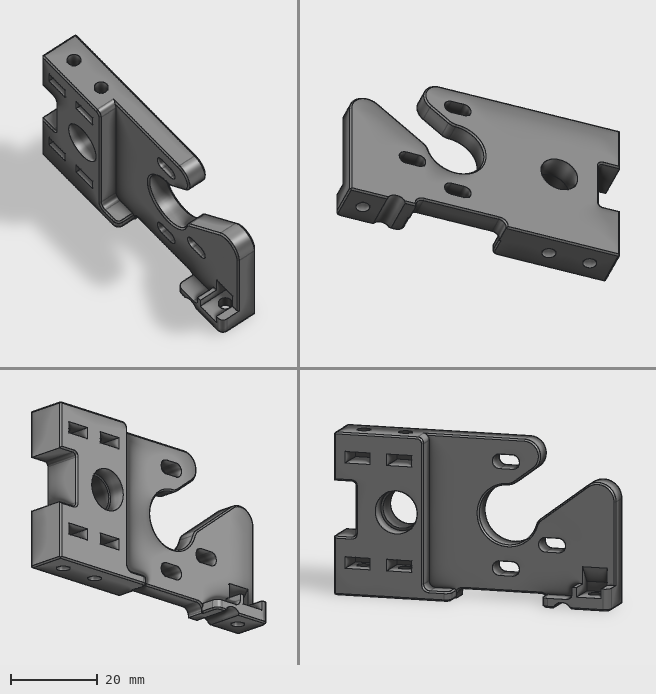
import cadquery as cq
import math


LENGTH = 66.5
DEPTH = 10.0
HEIGHT = 38.25
EDGE_CHAMFER = 0.4

PLATE_FRONT = 4.75
SCREW_DIAMETER = 3.2
SCREW_Y = DEPTH / 2

FOOT_HEIGHT = 2.25
RECESS_START = 28.0
RECESS_END = 50.1
RECESS_FILLET = 1.75

BLOCK_WIDTH = 21.5
BLOCK_TOP_FILLET = 1.5
FOOT_FILLET = 1.5
NOTCH_DEPTH = 5.2
NOTCH_BOTTOM = 13.75
NOTCH_TOP = 26.9
NOTCH_FILLET = 1.0

LEFT_END = [
    (0, HEIGHT),
    (0, NOTCH_TOP),
    (NOTCH_DEPTH, NOTCH_TOP),
    (NOTCH_DEPTH, NOTCH_BOTTOM),
    (0, NOTCH_BOTTOM),
    (0, 0),
]

AXIS_Z = 20.25
BORE_X = 15.0
BORE_DIAMETER = 9.0
COUNTERBORE_DIAMETER = 10.1
COUNTERBORE_DEPTH = 4.25

NUT_SLOT_WIDTH = 6.0
NUT_SLOT_HEIGHT = 2.7
NUT_SLOT_DEPTH = SCREW_Y + NUT_SLOT_WIDTH / 2
NUT_SLOT_XS = (5.65, 15.7)
UPPER_SLOT_Z = 32.5
LOWER_SLOT_Z = 7.75

OPENING_X = 40.5
OPENING_DIAMETER = 14.1
CHANNEL_HALF_WIDTH = 5.1
CHANNEL_ANGLE = math.radians(37)
MOUTH_FILLET = 3.0
UPPER_ARM_RADIUS = 3.85
LOWER_ARM_RADIUS = 4.3

OBLONG_LENGTH = 6.5
OBLONG_WIDTH = 3.4
OBLONG_CENTRES = ((40.0, 32.75), (40.0, 7.65), (51.15, 13.8))

HOLDER_START = 57.5
HOLDER_TOP = 5.2
GROOVE_X = 55.05
GROOVE_RADIUS = 2.4
GROOVE_HEIGHT = 1.45
HOLDER_NUT_X = 61.5
HOLDER_NUT_WIDTH = 5.9
HOLDER_NUT_FLOOR = 2.95
HOLDER_NUT_BACK = SCREW_Y + HOLDER_NUT_WIDTH / 2
HOLDER_NUT_TOP = 9.2


def extrude_outline(points, front, back):
    """Solid between two Y positions from a closed list of (x, z) points."""
    sketch = cq.Workplane("XZ", origin=(0, front, 0)).polyline(points).close()
    return sketch.extrude(front - back)


def cylinder_along_y(x, z, diameter, front, back):
    return cq.Workplane("XZ", origin=(x, front, z)).circle(diameter / 2).extrude(front - back)


def box_between(low, high):
    size = [b - a for a, b in zip(low, high)]
    return cq.Workplane("XY").box(*size, centered=False).translate(low)


def fillet_edges_along_y(solid, x, z, radius, y):
    """Round the edge parallel to Y that runs nearest to (x, y, z)."""
    return solid.edges("|Y").edges(cq.selectors.NearestToPointSelector((x, y, z))).fillet(radius)


def channel_point(along, across):
    """(x, z) of a point given along and across the channel from the opening centre."""
    x = OPENING_X + along * math.cos(CHANNEL_ANGLE) - across * math.sin(CHANNEL_ANGLE)
    z = AXIS_Z + along * math.sin(CHANNEL_ANGLE) + across * math.cos(CHANNEL_ANGLE)
    return x, z


def make_plate():
    half = CHANNEL_HALF_WIDTH
    root_upper = channel_point(0, half)
    root_lower = channel_point(0, -half)
    upper_tip = (root_upper[0] + (HEIGHT - root_upper[1]) / math.tan(CHANNEL_ANGLE), HEIGHT)
    lower_tip = (LENGTH, root_lower[1] + (LENGTH - root_lower[0]) * math.tan(CHANNEL_ANGLE))
    outline = [
        (RECESS_START, 0),
        (RECESS_START, FOOT_HEIGHT),
        (RECESS_END, FOOT_HEIGHT),
        (RECESS_END, 0),
        (LENGTH, 0),
        lower_tip,
        root_lower,
        root_upper,
        upper_tip,
        *LEFT_END,
    ]
    plate = extrude_outline(outline, PLATE_FRONT, DEPTH)
    plate = plate.cut(cylinder_along_y(OPENING_X, AXIS_Z, OPENING_DIAMETER, PLATE_FRONT, DEPTH))

    mouth_along = math.sqrt((OPENING_DIAMETER / 2) ** 2 - half**2)
    rounded_corners = [
        ((RECESS_START, FOOT_HEIGHT), RECESS_FILLET),
        ((RECESS_END, FOOT_HEIGHT), RECESS_FILLET),
        ((NOTCH_DEPTH, NOTCH_TOP), NOTCH_FILLET),
        ((NOTCH_DEPTH, NOTCH_BOTTOM), NOTCH_FILLET),
        (upper_tip, UPPER_ARM_RADIUS),
        (lower_tip, LOWER_ARM_RADIUS),
        (channel_point(mouth_along, half), MOUTH_FILLET),
        (channel_point(mouth_along, -half), MOUTH_FILLET),
    ]
    middle = (PLATE_FRONT + DEPTH) / 2
    for (x, z), radius in rounded_corners:
        plate = fillet_edges_along_y(plate, x, z, radius, middle)
    return plate.faces("<Y or >Y").chamfer(EDGE_CHAMFER)


def make_block():
    """Front half of the block with its foot; it laps over the plate's front chamfer."""
    back = PLATE_FRONT + EDGE_CHAMFER
    outline = [
        (RECESS_START, 0),
        (RECESS_START, FOOT_HEIGHT),
        (BLOCK_WIDTH, FOOT_HEIGHT),
        (BLOCK_WIDTH, HEIGHT),
        *LEFT_END,
    ]
    block = extrude_outline(outline, 0, back)
    rounded_corners = [
        (BLOCK_WIDTH, FOOT_HEIGHT, FOOT_FILLET),
        (BLOCK_WIDTH, HEIGHT, BLOCK_TOP_FILLET),
        (NOTCH_DEPTH, NOTCH_TOP, NOTCH_FILLET),
        (NOTCH_DEPTH, NOTCH_BOTTOM, NOTCH_FILLET),
    ]
    for x, z, radius in rounded_corners:
        block = fillet_edges_along_y(block, x, z, radius, back / 2)
    foot_corner = cq.selectors.NearestToPointSelector((RECESS_START, 0, FOOT_HEIGHT / 2))
    block = block.edges("|Z").edges(foot_corner).fillet(FOOT_FILLET)
    return block.faces("<Y").chamfer(EDGE_CHAMFER)


def make_right_foot():
    back = PLATE_FRONT + EDGE_CHAMFER
    outline = [
        (RECESS_END, 0),
        (LENGTH, 0),
        (LENGTH, HOLDER_TOP),
        (HOLDER_START, HOLDER_TOP),
        (HOLDER_START, FOOT_HEIGHT),
        (RECESS_END, FOOT_HEIGHT),
    ]
    foot = extrude_outline(outline, 0, back)
    foot = fillet_edges_along_y(foot, HOLDER_START, FOOT_HEIGHT, FOOT_FILLET, back / 2)
    for x, z in ((RECESS_END, FOOT_HEIGHT / 2), (LENGTH, HOLDER_TOP / 2)):
        corner = cq.selectors.NearestToPointSelector((x, 0, z))
        foot = foot.edges("|Z").edges(corner).fillet(FOOT_FILLET)
    return foot.faces("<Z").edges("not >Y").chamfer(EDGE_CHAMFER)


def bevel_end_corners(part):
    """Bevel the square outer corners: both at the left end, and the lower right one."""
    for x, z in ((0, 0), (0, HEIGHT), (LENGTH, 0)):
        corner = cq.selectors.NearestToPointSelector((x, DEPTH / 2, z))
        part = part.edges("|Y").edges(corner).chamfer(EDGE_CHAMFER)
    return part


def cut_bore(part):
    part = part.cut(cylinder_along_y(BORE_X, AXIS_Z, BORE_DIAMETER, 0, DEPTH))
    return part.cut(cylinder_along_y(BORE_X, AXIS_Z, COUNTERBORE_DIAMETER, 0, COUNTERBORE_DEPTH))


def cut_nut_slots(part):
    """Nut slots, each with a screw hole from the nearer end face to its far side."""
    half_width = NUT_SLOT_WIDTH / 2
    half_height = NUT_SLOT_HEIGHT / 2
    hole_spans = (
        (UPPER_SLOT_Z, UPPER_SLOT_Z - half_height, HEIGHT),
        (LOWER_SLOT_Z, 0, LOWER_SLOT_Z + half_height),
    )
    for x in NUT_SLOT_XS:
        for z, hole_bottom, hole_top in hole_spans:
            low = (x - half_width, 0, z - half_height)
            high = (x + half_width, NUT_SLOT_DEPTH, z + half_height)
            hole = cq.Workplane("XY", origin=(x, SCREW_Y, hole_bottom)).circle(SCREW_DIAMETER / 2)
            part = part.cut(box_between(low, high)).cut(hole.extrude(hole_top - hole_bottom))
    return part


def cut_oblong_slots(part):
    slots = cq.Workplane("XZ").pushPoints(OBLONG_CENTRES).slot2D(OBLONG_LENGTH, OBLONG_WIDTH)
    return part.cut(slots.extrude(-DEPTH))


def cut_holder(part):
    """Nut pocket open to the front with a sloping roof, its screw hole and the groove."""
    pocket_profile = [
        (0, HOLDER_NUT_FLOOR),
        (HOLDER_NUT_BACK, HOLDER_NUT_FLOOR),
        (HOLDER_NUT_BACK, HOLDER_TOP),
        (PLATE_FRONT, HOLDER_NUT_TOP),
        (0, HOLDER_NUT_TOP),
    ]
    pocket_start = HOLDER_NUT_X - HOLDER_NUT_WIDTH / 2
    pocket = cq.Workplane("YZ", origin=(pocket_start, 0, 0)).polyline(pocket_profile).close()
    part = part.cut(pocket.extrude(HOLDER_NUT_WIDTH))
    screw = cq.Workplane("XY", origin=(HOLDER_NUT_X, SCREW_Y, 0)).circle(SCREW_DIAMETER / 2)
    part = part.cut(screw.extrude(HOLDER_NUT_FLOOR))
    groove_z = GROOVE_HEIGHT - GROOVE_RADIUS
    return part.cut(cylinder_along_y(GROOVE_X, groove_z, 2 * GROOVE_RADIUS, 0, DEPTH))


result = make_plate().union(make_block()).clean()
result = bevel_end_corners(result)
result = result.union(make_right_foot())
result = cut_bore(result)
result = cut_nut_slots(result)
result = cut_oblong_slots(result)
result = cut_holder(result)